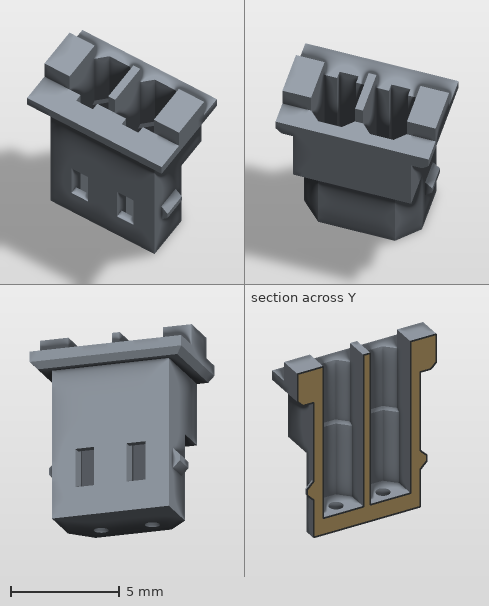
import cadquery as cq
import math

HEIGHT = 9.0

FLANGE_WIDTH = 7.4
FLANGE_DEPTH = 4.7
FLANGE_TOP = 8.0
FLANGE_BOTTOM = 7.2
FLANGE_BEVEL = 0.3

BODY_WIDTH = 5.71
BODY_FRONT = 4.0
STEP_Z = 4.21
STEP_DEPTH = 0.7
CORNER_CUT = 1.0

PITCH = 2.5
POCKET_WIDTH = 2.12
POCKET_FLOOR = 0.9
POCKET_BACK = 0.6
POCKET_FRONT = 3.22
POCKET_CORNER = 0.495
LEDGE_BEVEL = 0.135
LEDGE_TOP = 4.815
SLOT_WIDTH = 0.92
SLOT_FRONT = 3.6
WINDOW_BOTTOM = 1.4
WINDOW_HEIGHT = 1.86
PIN_HOLE_DIAMETER = 0.7
PIN_HOLE_BACK = 1.65

POST_BACK = 1.09
DIVIDER_WIDTH = PITCH - POCKET_WIDTH
POCKETS_SPAN = PITCH + POCKET_WIDTH

LATCH_PROJECTION = 0.34
LATCH_Z = 2.51
LATCH_BASE = 0.99
LATCH_TIP = 0.31
LATCH_BACK = 2.205
LATCH_FRONT = 3.42


def block(x_center, width, back, front, bottom, top):
    """Box whose back and front are distances from the rear face."""
    return (
        cq.Workplane("XY")
        .box(width, front - back, top - bottom, centered=(True, False, False))
        .translate((x_center, -front, bottom))
    )


def make_body():
    upper = block(0, BODY_WIDTH, 0, BODY_FRONT, STEP_Z, FLANGE_TOP)
    lower = block(0, BODY_WIDTH, STEP_DEPTH, BODY_FRONT, 0, STEP_Z)
    lower = lower.faces(">Y").edges("|Z").chamfer(CORNER_CUT)
    return upper.union(lower)


def make_flange():
    flange = block(0, FLANGE_WIDTH, 0, FLANGE_DEPTH, FLANGE_BOTTOM, FLANGE_TOP)
    return flange.edges("(<Z and <X) or (<Z and >X) or (<Z and <Y)").chamfer(FLANGE_BEVEL)


def make_posts():
    """Two end posts and the thin divider between the pockets."""
    post_width = (FLANGE_WIDTH - POCKETS_SPAN) / 2
    post_x = (FLANGE_WIDTH - post_width) / 2
    posts = block(0, DIVIDER_WIDTH, POST_BACK, POCKET_FRONT, FLANGE_TOP, HEIGHT)
    for x in (-post_x, post_x):
        posts = posts.union(block(x, post_width, POST_BACK, POCKET_FRONT, FLANGE_TOP, HEIGHT))
    return posts


def make_latch():
    """Trapezoidal latch on the +X side."""
    wall = BODY_WIDTH / 2
    tip = wall + LATCH_PROJECTION
    return (
        cq.Workplane("XZ", origin=(0, -LATCH_BACK, 0))
        .moveTo(wall, LATCH_Z - LATCH_BASE / 2)
        .lineTo(tip, LATCH_Z - LATCH_TIP / 2)
        .lineTo(tip, LATCH_Z + LATCH_TIP / 2)
        .lineTo(wall, LATCH_Z + LATCH_BASE / 2)
        .close()
        .extrude(LATCH_FRONT - LATCH_BACK)
    )


def pocket_outline(inset):
    """Pocket section with its rear and sloping walls moved inward by inset."""
    half = POCKET_WIDTH / 2
    back = -POCKET_BACK - inset
    corner = POCKET_CORNER + inset * (math.sqrt(2) - 1)
    return [
        (-half, -POCKET_FRONT),
        (half, -POCKET_FRONT),
        (half, back - corner),
        (half - corner, back),
        (corner - half, back),
        (-half, back - corner),
    ]


def pocket_prism(inset, bottom, top):
    """Straight length of pocket between two heights."""
    return (
        cq.Workplane("XY", origin=(0, 0, bottom))
        .polyline(pocket_outline(inset))
        .close()
        .extrude(top - bottom)
    )


def make_cavity(x_center):
    """Pocket with a bevelled ledge above the rear step, key slot, front window and pin hole."""
    ledge_bottom = LEDGE_TOP - LEDGE_BEVEL
    upper = pocket_prism(0, LEDGE_TOP, FLANGE_TOP)
    bevel = (
        cq.Workplane("XY", origin=(0, 0, ledge_bottom))
        .polyline(pocket_outline(LEDGE_BEVEL))
        .close()
        .workplane(offset=LEDGE_BEVEL)
        .polyline(pocket_outline(0))
        .close()
        .loft(ruled=True)
    )
    lower = pocket_prism(LEDGE_BEVEL, POCKET_FLOOR, ledge_bottom)
    slot = block(0, SLOT_WIDTH, POCKET_FRONT, SLOT_FRONT, POCKET_FLOOR, FLANGE_TOP)
    window_top = WINDOW_BOTTOM + WINDOW_HEIGHT
    window = block(0, SLOT_WIDTH, SLOT_FRONT, BODY_FRONT, WINDOW_BOTTOM, window_top)
    pin_hole = (
        cq.Workplane("XY", origin=(0, -PIN_HOLE_BACK, 0))
        .circle(PIN_HOLE_DIAMETER / 2)
        .extrude(POCKET_FLOOR)
    )
    cavity = upper.union(bevel).union(lower).union(slot).union(window).union(pin_hole)
    return cavity.translate((x_center, 0, 0))


latch = make_latch()
result = make_body().union(make_flange()).union(make_posts())
result = result.union(latch).union(latch.mirror("YZ"))
for pocket_x in (-PITCH / 2, PITCH / 2):
    result = result.cut(make_cavity(pocket_x))